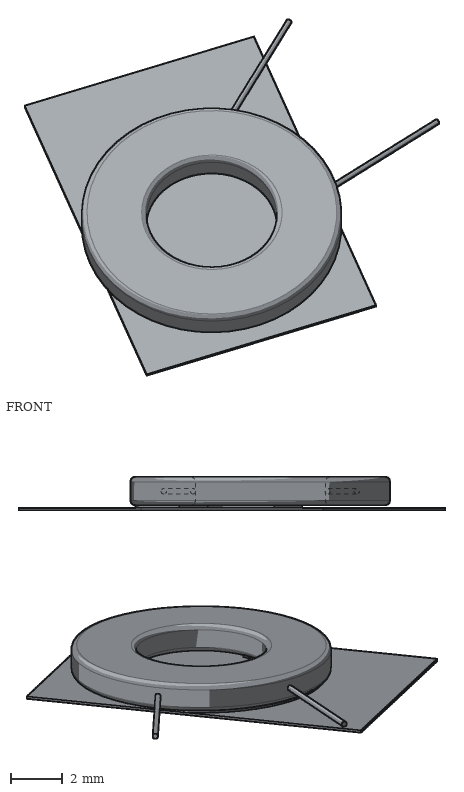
import cadquery as cq
import math

coil_diameter = 10.0
bore_diameter = 5.0
coil_height = 1.1
edge_radius = 0.2

wire_diameter = 0.21
lead_lean = 13.0
lead_tip_x = 3.71
lead_tip_y = 9.15
lead_length = 5.25

sheet_length = 13.53
sheet_width = 9.41
sheet_thickness = 0.1
sheet_angle = -30.0
sheet_shift = -1.25

adhesive_thickness = 0.1
adhesive_edge = -0.85

adhesive_bottom = sheet_thickness
coil_bottom = adhesive_bottom + adhesive_thickness
lead_height = coil_bottom + coil_height / 2

adhesive_outer_radius = coil_diameter / 2 - edge_radius
adhesive_inner_radius = bore_diameter / 2 + edge_radius


def turned_with_sheet(body):
    return body.rotate((0, 0, 0), (0, 0, 1), sheet_angle)


def make_sheet():
    sheet = (
        cq.Workplane("XY")
        .center(sheet_shift, 0)
        .rect(sheet_length, sheet_width)
        .extrude(sheet_thickness)
    )
    return turned_with_sheet(sheet)


def make_adhesive():
    ring = (
        cq.Workplane("XY", origin=(0, 0, adhesive_bottom))
        .circle(adhesive_outer_radius)
        .circle(adhesive_inner_radius)
        .extrude(adhesive_thickness)
    )
    kept_side = (
        cq.Workplane("XY", origin=(adhesive_edge - coil_diameter / 2, 0, adhesive_bottom))
        .rect(coil_diameter, coil_diameter)
        .extrude(adhesive_thickness)
    )
    return turned_with_sheet(ring.intersect(kept_side))


def make_lead(side):
    """Straight round wire running from its free end back into the coil; side is -1 or +1."""
    lean = math.radians(lead_lean)
    tip = cq.Vector(side * lead_tip_x, lead_tip_y, lead_height)
    inward = cq.Vector(-side * math.sin(lean), -math.cos(lean), 0)
    return cq.Solid.makeCylinder(wire_diameter / 2, lead_length, tip, inward)


def make_coil():
    """Annular winding with rounded edges and its two leads, as one solid."""
    coil = (
        cq.Workplane("XY", origin=(0, 0, coil_bottom))
        .circle(coil_diameter / 2)
        .circle(bore_diameter / 2)
        .extrude(coil_height)
        .edges("%CIRCLE")
        .fillet(edge_radius)
    )
    for side in (-1, 1):
        coil = coil.union(cq.Workplane(make_lead(side)))
    return coil


sheet = make_sheet()
adhesive = make_adhesive()
coil = make_coil()

result = cq.Compound.makeCompound([sheet.val(), adhesive.val(), coil.val()])